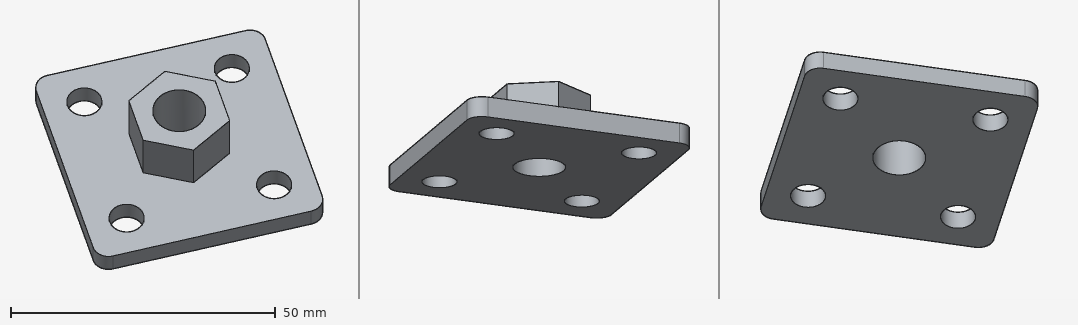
import cadquery as cq
import math

plate_side = 45.0
plate_thickness = 4.0
corner_radius = 3.0

total_height = 14.0
hex_across_flats = 17.0
hex_across_corners = hex_across_flats / math.cos(math.pi / 6)
bore_diameter = 10.0

hole_diameter = 6.6
hole_spacing = 29.0

plate = (
    cq.Workplane("XY")
    .rect(plate_side, plate_side)
    .extrude(plate_thickness)
    .edges("|Z")
    .fillet(corner_radius)
)

boss = cq.Workplane("XY").polygon(6, hex_across_corners).extrude(total_height)

bore = cq.Workplane("XY").circle(bore_diameter / 2).extrude(total_height)

mounting_holes = (
    cq.Workplane("XY")
    .rect(hole_spacing, hole_spacing, forConstruction=True)
    .vertices()
    .circle(hole_diameter / 2)
    .extrude(plate_thickness)
)

result = plate.union(boss).cut(bore).cut(mounting_holes)